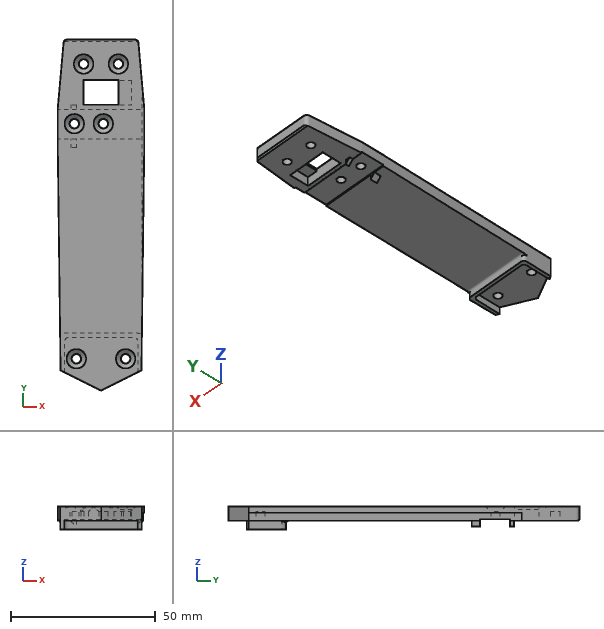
import cadquery as cq
import math

PLATE_LENGTH = 121.19
PLATE_THICKNESS = 5.0
TOTAL_HEIGHT = 8.0

REAR_HALF_WIDTH = 12.85
WIDEST_HALF_WIDTH = 15.0
NOSE_HALF_WIDTH = 14.0
NOSE_LENGTH = 7.0
PARALLEL_REAR_Y = -24.3
PARALLEL_FRONT_Y = -34.1
NOSE_CORNER_Y = -PLATE_LENGTH + NOSE_LENGTH
REAR_CORNER_RADIUS = 1.5
REAR_BOTTOM_CHAMFER = 0.6

CHANNEL_OVERRUN = 0.2
CHANNEL_REAR_Y = PARALLEL_REAR_Y + CHANNEL_OVERRUN
CHANNEL_FRONT_Y = PARALLEL_FRONT_Y - CHANNEL_OVERRUN
CHANNEL_DEPTH = 0.5

TAB_HEIGHT = 2.0
REAR_TAB_WIDTH = 1.5
FRONT_TAB_WIDTH = 3.0
TAB_START_X = -11.0

HOLE_DIAMETER = 3.2
HEAD_DIAMETER = 6.7
COUNTERSINK_ANGLE = 90.0
REAR_HOLES = [(-6.0, -8.5), (6.0, -8.5)]
CHANNEL_HOLES = [(-9.2, -29.1), (0.8, -29.1)]
NOSE_HOLES = [(-8.5, -110.2), (8.5, -110.2)]

WINDOW_WIDTH = 12.0
WINDOW_LENGTH = 8.4
WINDOW_REAR_Y = -14.1
UNDERCUT_WIDTH = 4.5
UNDERCUT_SKIN = 1.0

STEP_LEDGE_DEPTH = 2.2
STEP_REAR_Y = -20.0

WALL_REAR_Y = -101.3
WALL_THICKNESS = 1.4
WALL_CORNER_RADIUS = 1.4
WALL_FOOT_FILLET = 0.8


def outline():
    return (
        cq.Workplane("XY")
        .moveTo(-REAR_HALF_WIDTH, 0)
        .lineTo(REAR_HALF_WIDTH, 0)
        .lineTo(WIDEST_HALF_WIDTH, PARALLEL_REAR_Y)
        .lineTo(WIDEST_HALF_WIDTH, PARALLEL_FRONT_Y)
        .lineTo(NOSE_HALF_WIDTH, NOSE_CORNER_Y)
        .lineTo(0, -PLATE_LENGTH)
        .lineTo(-NOSE_HALF_WIDTH, NOSE_CORNER_Y)
        .lineTo(-WIDEST_HALF_WIDTH, PARALLEL_FRONT_Y)
        .lineTo(-WIDEST_HALF_WIDTH, PARALLEL_REAR_Y)
        .close()
    )


def block(x_range, y_range, z_range):
    x0, x1 = x_range
    y0, y1 = y_range
    z0, z1 = z_range
    return cq.Workplane("XY").box(x1 - x0, y1 - y0, z1 - z0, centered=False).translate((x0, y0, z0))


def plate():
    body = outline().extrude(-PLATE_THICKNESS)
    body = body.edges("|Z and >Y").fillet(REAR_CORNER_RADIUS)
    return body.cut(rear_bevel())


def rear_bevel():
    """Wedge that bevels only the straight rear edge of the underside."""
    return (
        cq.Workplane("YZ", origin=(-WIDEST_HALF_WIDTH, 0, -PLATE_THICKNESS))
        .lineTo(-REAR_BOTTOM_CHAMFER, 0)
        .lineTo(0, REAR_BOTTOM_CHAMFER)
        .close()
        .extrude(2 * WIDEST_HALF_WIDTH)
    )


def nose_wall():
    span = (-WIDEST_HALF_WIDTH, WIDEST_HALF_WIDTH)
    heights = (-TOTAL_HEIGHT, -PLATE_THICKNESS)
    footprint = outline().extrude(-TOTAL_HEIGHT)
    wall = footprint.intersect(block(span, (-PLATE_LENGTH, WALL_REAR_Y), heights))
    wall = wall.edges("|Z and >Y").fillet(WALL_CORNER_RADIUS)
    inner_half_width = NOSE_HALF_WIDTH - WALL_THICKNESS
    recess = block(
        (-inner_half_width, inner_half_width),
        (-PLATE_LENGTH, WALL_REAR_Y - WALL_THICKNESS),
        heights,
    )
    return wall.cut(recess.edges("|Z and >Y").fillet(WALL_CORNER_RADIUS))


def foot_profile(start):
    """Concave triangle between the plate underside and the rear face of the nose wall."""
    return (
        cq.Workplane("YZ", origin=start)
        .lineTo(WALL_FOOT_FILLET, 0)
        .radiusArc((0, -WALL_FOOT_FILLET), -WALL_FOOT_FILLET)
        .close()
    )


def wall_foot():
    """Foot fillet along the rear of the nose wall and round its corners, flush with the plate sides."""
    corner_x = NOSE_HALF_WIDTH - WALL_CORNER_RADIUS
    start = (-corner_x, WALL_REAR_Y, -PLATE_THICKNESS)
    foot = foot_profile(start).extrude(2 * corner_x)
    axis_foot = (-WALL_CORNER_RADIUS, 0)
    axis_up = (-WALL_CORNER_RADIUS, 1)
    axis_down = (-WALL_CORNER_RADIUS, -1)
    for x, axis_tip in ((-corner_x, axis_up), (corner_x, axis_down)):
        corner_start = (x, WALL_REAR_Y, -PLATE_THICKNESS)
        foot = foot.union(foot_profile(corner_start).revolve(90, axis_foot, axis_tip))
    return foot.intersect(outline().extrude(-TOTAL_HEIGHT))


def tab(front_y, width):
    """Triangular rib whose sloping face looks towards -X and down."""
    root_z = -PLATE_THICKNESS + CHANNEL_DEPTH
    height = TAB_HEIGHT + CHANNEL_DEPTH
    return (
        cq.Workplane("XZ", origin=(TAB_START_X, front_y, root_z))
        .lineTo(height, 0)
        .lineTo(height, -height)
        .close()
        .extrude(-width)
    )


def screw_hole(x, y):
    cone_height = HEAD_DIAMETER / 2 / math.tan(math.radians(COUNTERSINK_ANGLE / 2))
    cone = cq.Solid.makeCone(HEAD_DIAMETER / 2, 0, cone_height, cq.Vector(x, y, 0), cq.Vector(0, 0, -1))
    bore = cq.Workplane("XY").center(x, y).circle(HOLE_DIAMETER / 2).extrude(-PLATE_THICKNESS)
    return bore.union(cq.Workplane(cone))


def channel():
    return block(
        (-WIDEST_HALF_WIDTH, WIDEST_HALF_WIDTH),
        (CHANNEL_FRONT_Y, CHANNEL_REAR_Y),
        (-PLATE_THICKNESS, -PLATE_THICKNESS + CHANNEL_DEPTH),
    )


def window():
    half_width = WINDOW_WIDTH / 2
    y_range = (WINDOW_REAR_Y - WINDOW_LENGTH, WINDOW_REAR_Y)
    opening = block((-half_width, half_width), y_range, (-PLATE_THICKNESS, 0))
    undercut = block(
        (half_width, half_width + UNDERCUT_WIDTH),
        y_range,
        (-PLATE_THICKNESS, -UNDERCUT_SKIN),
    )
    return opening.union(undercut)


def side_step():
    return block(
        (NOSE_HALF_WIDTH, WIDEST_HALF_WIDTH),
        (NOSE_CORNER_Y, STEP_REAR_Y),
        (-PLATE_THICKNESS, -STEP_LEDGE_DEPTH),
    )


result = plate().cut(channel()).cut(side_step()).cut(window())
result = result.union(nose_wall()).union(wall_foot()).clean()
result = result.union(tab(CHANNEL_REAR_Y, REAR_TAB_WIDTH))
result = result.union(tab(CHANNEL_FRONT_Y - FRONT_TAB_WIDTH, FRONT_TAB_WIDTH))
for hole_x, hole_y in REAR_HOLES + CHANNEL_HOLES + NOSE_HOLES:
    result = result.cut(screw_hole(hole_x, hole_y))